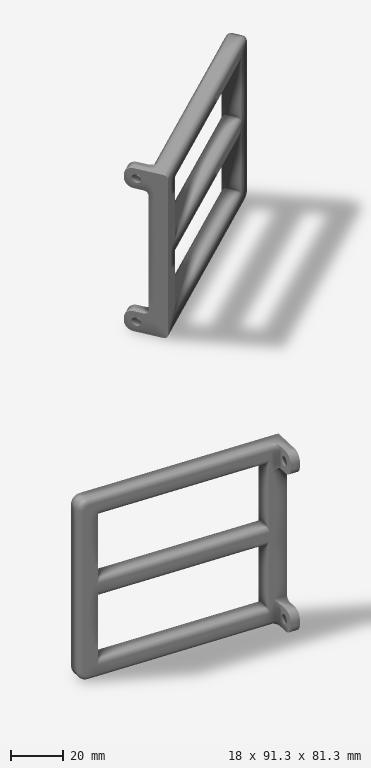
import cadquery as cq

frame_length = 91.3
frame_height = 81.3
frame_depth = 8.0
bar_width = 8.0
bar_count = 3
corner_radius = 4.0
edge_radius = 2.0

tab_reach = 9.95
tab_height = 9.95
tab_thickness = 4.0
tab_radius = 4.0
hole_diameter = 4.0
hole_inset = 5.0
root_radius = 2.0

top = frame_height / 2
opening_count = bar_count - 1
opening_height = (frame_height - bar_count * bar_width) / opening_count
opening_length = frame_length - 2 * bar_width


def make_slab():
    """Rounded slab, left sharp where it meets the -Y end face."""
    slab = cq.Workplane("XY").box(frame_depth, frame_length, frame_height, centered=(False, False, True))
    slab = slab.edges("|X and >Y").fillet(corner_radius)
    return slab.faces("<X or >X").edges("not <Y").fillet(edge_radius)


def make_opening(center_z):
    """Window cutter whose flared mouths round over the long bar edges."""
    half = opening_height / 2
    flared = half + edge_radius
    bend = edge_radius * (1 - 0.5 ** 0.5)
    back = frame_depth
    return (
        cq.Workplane("XZ", origin=(0, bar_width, center_z))
        .moveTo(0, -flared)
        .threePointArc((bend, -half - bend), (edge_radius, -half))
        .lineTo(back - edge_radius, -half)
        .threePointArc((back - bend, -half - bend), (back, -flared))
        .lineTo(back, flared)
        .threePointArc((back - bend, half + bend), (back - edge_radius, half))
        .lineTo(edge_radius, half)
        .threePointArc((bend, half + bend), (0, flared))
        .close()
        .extrude(-opening_length)
    )


def make_tab():
    """Upper tab with a square block that fills the slab's rounded edge behind it."""
    tab = (
        cq.Workplane("XY")
        .box(tab_reach + frame_depth / 2, tab_thickness, tab_height, centered=False)
        .translate((-tab_reach, 0, top - tab_height))
        .edges("|Y and <X")
        .fillet(tab_radius)
    )
    root = (
        cq.Workplane("XY")
        .box(frame_depth / 2, tab_thickness + root_radius, tab_height, centered=False)
        .translate((0, 0, top - tab_height))
    )
    return tab.union(root)


def make_root_relief():
    """Cutter that carries the upper tab's root fillet around the slab's rounded edge."""
    bend = root_radius * 0.5 ** 0.5
    arc_end = edge_radius + root_radius
    outer = arc_end + root_radius
    fillet_end = tab_thickness + root_radius
    ring = (
        cq.Workplane("XY")
        .moveTo(-edge_radius, fillet_end)
        .threePointArc((bend - arc_end, fillet_end - bend), (-arc_end, tab_thickness))
        .lineTo(-outer, tab_thickness)
        .lineTo(-outer, fillet_end)
        .close()
        .revolve(90, (0, 0, 0), (0, 1, 0))
    )
    return ring.translate((edge_radius, 0, top - edge_radius))


def drill_hole(body, center_z):
    hole = (
        cq.Workplane("XZ", origin=(hole_inset - tab_reach, 0, center_z))
        .circle(hole_diameter / 2)
        .extrude(-tab_thickness)
    )
    return body.cut(hole)


frame = make_slab()
upper_tab = make_tab()
frame = frame.union(upper_tab).union(upper_tab.mirror("XY"))

root_edges = cq.selectors.BoxSelector(
    (-root_radius / 2, tab_thickness / 4, -top),
    (root_radius / 2, tab_thickness + root_radius / 2, top),
)
frame = frame.edges(root_edges).fillet(root_radius)
root_relief = make_root_relief()
frame = frame.cut(root_relief).cut(root_relief.mirror("XY"))

opening_pitch = opening_height + bar_width
for index in range(opening_count):
    frame = frame.cut(make_opening((index - (opening_count - 1) / 2) * opening_pitch))

for side in (-1, 1):
    frame = drill_hole(frame, side * (top - tab_height / 2))

result = frame